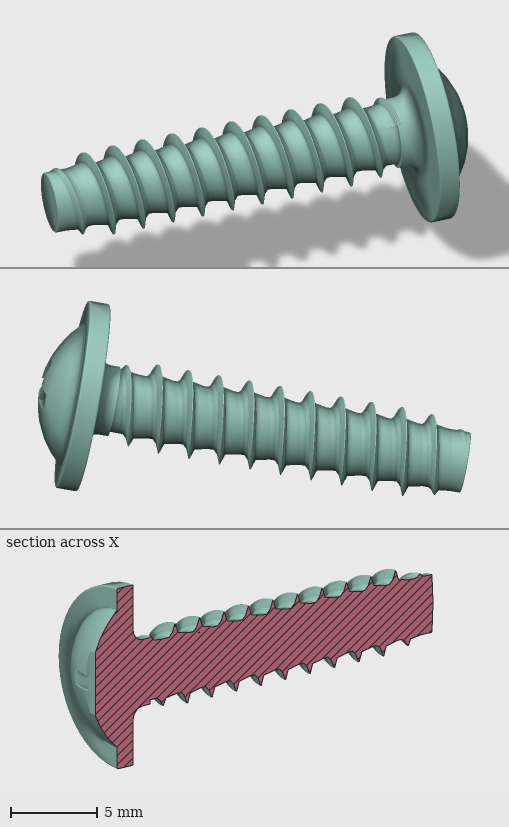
import cadquery as cq
import math


flange_dia = 11.0
flange_thickness = 1.23
flange_edge_radius = 0.1
head_height = 3.11
dome_base_dia = 8.35
recess_width = 0.95
recess_depth = 0.3

overall_length = 25.12
neck_dia = 4.07
neck_length = 1.23
neck_fillet = 0.7
core_dia = 3.55
tip_chamfer = 0.05
tip_cone_height = 0.08

crest_dia = 5.07
crest_width = 0.05
root_dia = 3.47
foot_dia = 3.01
full_thread_start = 3.06
full_thread_end = 19.25
full_turns = 9
lead_in_turns = 1.1
lead_in_dia = 4.17
run_out_turns = 1.4
stretch_count = 46
stretch_points = 6

shank_length = overall_length - head_height
tip_depth = shank_length - tip_cone_height
core_radius = core_dia / 2
neck_radius = neck_dia / 2
crest_radius = crest_dia / 2
root_radius = root_dia / 2
pitch = (full_thread_end - full_thread_start) / full_turns

thread_ridge = [
    (-0.5, root_radius),
    (-0.23, 2.0),
    (-crest_width / 2, crest_radius),
    (crest_width / 2, crest_radius),
    (0.23, 1.93),
    (1.23, root_radius),
]
thread_foot = [
    (thread_ridge[-1][0], foot_dia / 2),
    (thread_ridge[0][0], foot_dia / 2),
]


def make_head():
    """Washer flange with a spherical dome on top."""
    flange = (
        cq.Workplane("XZ")
        .circle(flange_dia / 2)
        .extrude(-flange_thickness)
        .edges()
        .fillet(flange_edge_radius)
    )
    base_radius = dome_base_dia / 2
    corner_radius = recess_width / 2 * math.sqrt(2)
    corner_height = head_height - flange_thickness
    centre_height = (corner_radius**2 + corner_height**2 - base_radius**2) / (2 * corner_height)
    dome_radius = math.hypot(base_radius, centre_height)
    dome = (
        cq.Workplane("XY")
        .sphere(dome_radius)
        .translate((0, flange_thickness + centre_height, 0))
    )
    above_flange = (
        cq.Workplane("XZ", origin=(0, flange_thickness / 2, 0))
        .circle(base_radius)
        .extrude(-head_height)
    )
    return flange.union(dome.intersect(above_flange))


def make_recess():
    """Two crossed slots over the top of the dome."""
    slot_height = 2 * recess_depth
    along_x = cq.Workplane("XY").box(dome_base_dia, slot_height, recess_width)
    along_z = cq.Workplane("XY").box(recess_width, slot_height, dome_base_dia)
    return along_x.union(along_z).translate((0, head_height, 0))


def make_shank():
    """Neck with a fillet under the flange, plain core and a slightly conical tip."""
    overlap = flange_thickness / 2
    arc_offset = neck_fillet * (1 - math.sqrt(0.5))
    return (
        cq.Workplane("XY")
        .moveTo(0, overlap)
        .lineTo(neck_radius + neck_fillet, overlap)
        .lineTo(neck_radius + neck_fillet, 0)
        .threePointArc((neck_radius + arc_offset, -arc_offset), (neck_radius, -neck_fillet))
        .lineTo(neck_radius, -neck_length)
        .lineTo(core_radius, -neck_length)
        .lineTo(core_radius, tip_chamfer - tip_depth)
        .lineTo(core_radius - tip_chamfer, -tip_depth)
        .lineTo(0, -shank_length)
        .close()
        .revolve(360, (0, 0, 0), (0, 1, 0))
    )


def thread_height(turn):
    """Share of the full height; turn 0 is the first full-height crest."""
    start_height = (lead_in_dia / 2 - root_radius) / (crest_radius - root_radius)
    if turn < 0:
        return 1 + (1 - start_height) * turn / lead_in_turns
    if turn > full_turns:
        return 1 - (turn - full_turns) / run_out_turns
    return 1


def helix_point(offset, radius, turn):
    """Point of one thread edge, on a right-handed helix that starts on the +Z side."""
    if radius > root_radius:
        radius = root_radius + thread_height(turn) * (radius - root_radius)
    angle = 2 * math.pi * turn
    depth = full_thread_start + pitch * turn + offset
    return cq.Vector(-radius * math.sin(angle), -depth, radius * math.cos(angle))


def ruled_stretch(section, turns):
    """Side faces of the thread along a stretch of the helix."""
    edges = [
        cq.Edge.makeSpline([helix_point(offset, radius, turn) for turn in turns], parameters=turns)
        for offset, radius in section
    ]
    return [cq.Face.makeRuledSurface(a, b) for a, b in zip(edges, edges[1:] + edges[:1])]


def end_face(section, turn):
    """Flat face that closes the thread at one end."""
    corners = [helix_point(offset, radius, turn) for offset, radius in section]
    return cq.Face.makeFromWires(cq.Wire.makePolygon(corners, close=True))


def make_thread():
    """Solid helical ridge with a lead-in and a run-out, trimmed at the tip."""
    section = thread_ridge + thread_foot
    stretch_turns = (lead_in_turns + full_turns + run_out_turns) / stretch_count
    faces = []
    for stretch in range(stretch_count):
        first_turn = stretch * stretch_turns - lead_in_turns
        turns = [first_turn + i * stretch_turns / stretch_points for i in range(stretch_points + 1)]
        faces += ruled_stretch(section, turns)
    faces.append(end_face(section, -lead_in_turns))
    faces.append(end_face(section, full_turns + run_out_turns))
    ridge = cq.Workplane(cq.Solid.makeSolid(cq.Shell.makeShell(faces)))
    beyond_tip = (
        cq.Workplane("XZ", origin=(0, tip_chamfer - tip_depth, 0))
        .circle(crest_radius)
        .extrude(pitch)
    )
    return ridge.cut(beyond_tip)


head = make_head().cut(make_recess())
result = head.union(make_shank()).union(make_thread())